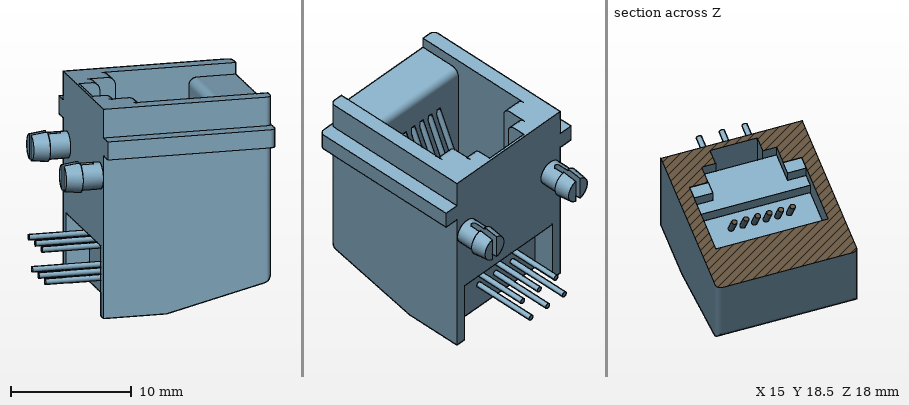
import cadquery as cq


overall_depth = 18.5
body_width = 12.4
body_depth = 14.5
body_height = 18.0
slope_start = 5.42
slope_rise = 2.2
back_bottom_radius = 0.92
back_edge_radius = 0.5

flange_span = 15.0
flange_top = body_height - 2.46
flange_height = 1.55

cavity_width = 9.79
keyway_width = 6.53
latch_width = 4.1
cavity_front = 3.68
keyway_front = 2.0
cavity_back = 10.45
mouth_radius = 0.7
back_wall_drop = 1.0
latch_front_top = 0.22
latch_front_bottom = 0.68

contact_floor = 7.0
keyway_floor = 8.0
shelf_floor = 9.0
shelf_back = 4.83
keyway_back = 5.9

pocket_width = 10.55
pocket_height = 6.03
pocket_depth = 2.0

way_count = 6
wire_diameter = 0.48
contact_pitch = 1.02
contact_top_z = 13.76
contact_foot_y = 7.4
pin_pitch = 1.0
pin_row_heights = (5.0, 2.5)
pin_length = overall_depth - body_depth
wire_embed = 0.37

post_spacing = 10.0
post_height = 12.0
post_diameter = 2.25
barb_diameter = 2.6
barb_start = 1.78
post_length = 3.16
post_slot_width = 0.52
post_slot_start = 0.55


def box(width, y_range, z_range):
    """Block centred on X = 0 between two Y and two Z positions."""
    depth = y_range[1] - y_range[0]
    height = z_range[1] - z_range[0]
    block = cq.Workplane("XY").box(width, depth, height, centered=(True, False, False))
    return block.translate((0, y_range[0], z_range[0]))


def side_prism(width, points):
    """Extrude a (Y, Z) outline symmetrically along X."""
    return cq.Workplane("YZ").polyline(points).close().extrude(width / 2, both=True)


def make_housing():
    profile = [
        (0, 0),
        (slope_start, 0),
        (body_depth, slope_rise),
        (body_depth, body_height),
        (0, body_height),
    ]
    body = side_prism(body_width, profile)
    lowest_back_edge = cq.selectors.NearestToPointSelector((0, body_depth, slope_rise))
    body = body.edges(lowest_back_edge).fillet(back_bottom_radius)
    rounded_plan = box(body_width, (0, body_depth), (0, body_height))
    rounded_plan = rounded_plan.edges("|Z and >Y").fillet(back_edge_radius)
    body = body.intersect(rounded_plan)
    flange = box(flange_span, (0, body_depth), (flange_top - flange_height, flange_top))
    flange = flange.edges("|Z and >Y").fillet(back_edge_radius)
    return body.union(flange)


def rounded_mouth_cut(width, front, back, floor):
    """Cavity block whose front wall flares out in a round at the top."""
    mouth = (
        cq.Workplane("YZ")
        .moveTo(front, floor)
        .lineTo(front, body_height - mouth_radius)
        .radiusArc((front - mouth_radius, body_height), -mouth_radius)
        .lineTo(back, body_height)
        .lineTo(back, floor)
        .close()
    )
    return mouth.extrude(width / 2, both=True)


def make_cavity():
    wall_top = body_height - back_wall_drop
    cavity = box(cavity_width, (keyway_back, cavity_back), (contact_floor, body_height))
    cavity = cavity.union(rounded_mouth_cut(cavity_width, cavity_front, keyway_back, shelf_floor))
    cavity = cavity.union(box(cavity_width, (shelf_back, keyway_back), (keyway_floor, body_height)))
    cavity = cavity.union(rounded_mouth_cut(keyway_width, keyway_front, keyway_back, keyway_floor))

    latch_profile = [
        (latch_front_bottom, pocket_height),
        (pocket_depth, pocket_height),
        (pocket_depth, body_height),
        (latch_front_top, body_height),
    ]
    cavity = cavity.union(side_prism(latch_width, latch_profile))

    clearance = (
        cq.Workplane("YZ")
        .moveTo(cavity_back, body_height)
        .lineTo(cavity_back, wall_top - mouth_radius)
        .radiusArc((cavity_back + mouth_radius, wall_top), mouth_radius)
        .lineTo(body_depth, wall_top)
        .lineTo(body_depth, body_height)
        .close()
        .extrude(cavity_width / 2, both=True)
    )
    return cavity.union(clearance)


def wire(start, end):
    """Round wire between two points, extended into the housing at its start."""
    axis = cq.Vector(*end) - cq.Vector(*start)
    direction = axis.normalized()
    root = cq.Vector(*start) - direction * wire_embed
    return cq.Solid.makeCylinder(wire_diameter / 2, axis.Length + wire_embed, root, direction)


def centred_place(index, pitch):
    return (index - (way_count - 1) / 2) * pitch


def make_contact(index):
    x = centred_place(index, contact_pitch)
    slope = (contact_top_z - contact_floor) / (cavity_back - contact_foot_y)
    foot = (x, contact_foot_y - wire_embed / slope, contact_floor - wire_embed)
    return wire((x, cavity_back, contact_top_z), foot)


def make_pin(index):
    x = centred_place(index, pin_pitch)
    z = pin_row_heights[index % len(pin_row_heights)]
    return wire((x, pocket_depth, z), (x, -pin_length, z))


def make_post():
    post = cq.Workplane("XZ").circle(post_diameter / 2).extrude(barb_start)
    barb = (
        cq.Workplane("XZ", origin=(0, -barb_start, 0))
        .circle(barb_diameter / 2)
        .workplane(offset=post_length - barb_start)
        .circle(post_diameter / 2)
        .loft()
    )
    slot_round_y = -post_slot_start - post_slot_width / 2
    slot = (
        cq.Workplane("XY")
        .moveTo(-post_slot_width / 2, -post_length)
        .lineTo(-post_slot_width / 2, slot_round_y)
        .threePointArc((0, -post_slot_start), (post_slot_width / 2, slot_round_y))
        .lineTo(post_slot_width / 2, -post_length)
        .close()
        .extrude(barb_diameter, both=True)
    )
    return post.union(barb).cut(slot)


result = make_housing().cut(make_cavity())
result = result.cut(box(pocket_width, (0, pocket_depth), (0, pocket_height)))
for way in range(way_count):
    result = result.union(cq.Workplane(make_contact(way)))
    result = result.union(cq.Workplane(make_pin(way)))
for side in (-1, 1):
    result = result.union(make_post().translate((side * post_spacing / 2, 0, post_height)))